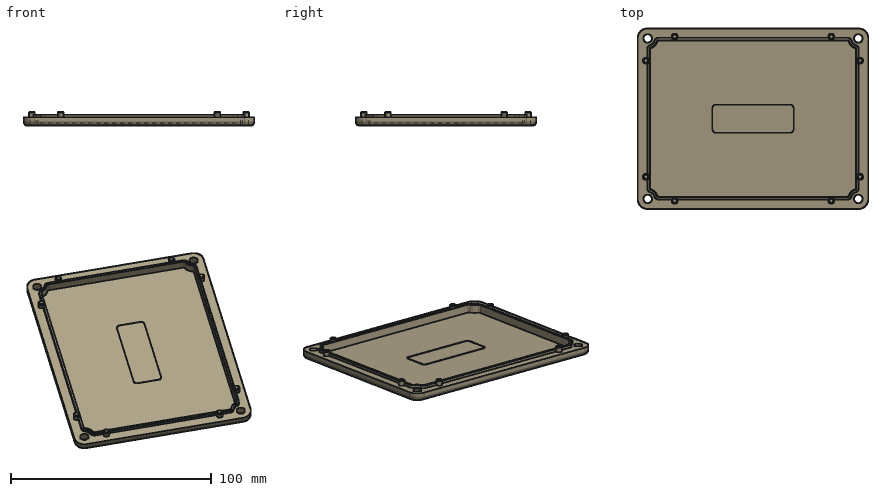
import cadquery as cq

LENGTH = 115.0
WIDTH = 90.0
PLATE_HEIGHT = 4.3
CORNER_RADIUS = 5.1
BOTTOM_FILLET = 2.1

HOLE_DIAMETER = 4.1
HOLE_INSET = CORNER_RADIUS

RIB_TOP = 5.5
RIB_FOOT_INSET = 4.7
RIB_DRAFT = 4.0
SCALLOP_RADIUS = 3.6
BLEND_RADIUS = 2.3

FLOOR_HEIGHT = 1.5
FLOOR_OFFSET = 1.5

PIN_DIAMETER = 3.0
PIN_TOP = 7.0
PIN_CHAMFER = 0.5
PIN_SIDE_INSET = 4.1
LONG_SIDE_PIN_X = LENGTH / 2 - 18.5
SHORT_SIDE_PIN_Y = WIDTH / 2 - 16.1

LABEL_LENGTH = 40.4
LABEL_WIDTH = 14.0
LABEL_CORNER_RADIUS = 1.7
LABEL_DEPTH = 0.2


def mirrored(x, y):
    """The four points that mirror (x, y) about both centre lines."""
    return [(sx * x, sy * y) for sx in (-1, 1) for sy in (-1, 1)]


HOLE_CENTRES = mirrored(LENGTH / 2 - HOLE_INSET, WIDTH / 2 - HOLE_INSET)


def rounded_block(length, width, bottom, top, radius):
    """A block with rounded vertical edges."""
    block = cq.Workplane("XY").workplane(offset=bottom).rect(length, width).extrude(top - bottom)
    return block.edges("|Z").fillet(radius)


def scalloped_block(offset, bottom, top, taper):
    """A tapered block, scalloped around each screw hole.

    Its base is set in from the outside of the rib's foot by offset.
    """
    inset = RIB_FOOT_INSET + offset
    base = cq.Workplane("XY").workplane(offset=bottom)
    scallops = base.pushPoints(HOLE_CENTRES).circle(SCALLOP_RADIUS + offset).extrude(top - bottom)
    block = base.rect(LENGTH - 2 * inset, WIDTH - 2 * inset).extrude(top - bottom).cut(scallops)
    foot = block.edges("|Z").fillet(BLEND_RADIUS - offset).faces("<Z").wires().val()
    return base.newObject([foot]).toPending().extrude(top - bottom, taper=taper)


def locating_pins():
    """Chamfered pins standing on the plate, two on each side."""
    centres = mirrored(LONG_SIDE_PIN_X, WIDTH / 2 - PIN_SIDE_INSET)
    centres += mirrored(LENGTH / 2 - PIN_SIDE_INSET, SHORT_SIDE_PIN_Y)
    pins = cq.Workplane("XY").workplane(offset=FLOOR_HEIGHT).pushPoints(centres)
    pins = pins.circle(PIN_DIAMETER / 2).extrude(PIN_TOP - FLOOR_HEIGHT)
    return pins.faces(">Z").edges().chamfer(PIN_CHAMFER)


plate = rounded_block(LENGTH, WIDTH, 0, PLATE_HEIGHT, CORNER_RADIUS)
plate = plate.faces("<Z").edges().fillet(BOTTOM_FILLET)

rib = scalloped_block(0, PLATE_HEIGHT, RIB_TOP, RIB_DRAFT)
recess = scalloped_block(FLOOR_OFFSET, FLOOR_HEIGHT, RIB_TOP, -RIB_DRAFT)
label = rounded_block(
    LABEL_LENGTH, LABEL_WIDTH, FLOOR_HEIGHT - LABEL_DEPTH, FLOOR_HEIGHT, LABEL_CORNER_RADIUS
)
holes = cq.Workplane("XY").pushPoints(HOLE_CENTRES).circle(HOLE_DIAMETER / 2).extrude(PLATE_HEIGHT)

result = plate.union(rib).cut(recess).union(locating_pins()).cut(label).cut(holes)